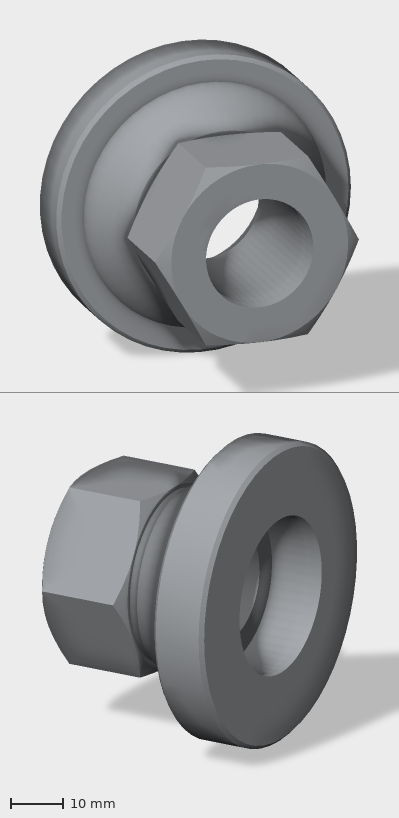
import cadquery as cq
import math

flange_radius = 30.0
flange_thickness = 11.05
flange_chamfer = 0.8
neck_base_radius = 24.7
neck_end_radius = 18.1
neck_end_x = 21.35
neck_hollow = 0.25

bore_radius = 10.9
counterbore_radius = 15.7
counterbore_depth = 11.05

nut_collar_radius = 17.15
nut_start_x = 23.5
overall_length = 42.5
nut_across_flats = 36.0
nut_chamfer_angle = 30.0

nut_length = overall_length - nut_start_x
nut_across_corners = nut_across_flats / math.cos(math.radians(30))


def make_flange():
    """Disc and neck as one turned solid with a stepped bore."""
    neck_middle = (
        (flange_thickness + neck_end_x) / 2,
        (neck_base_radius + neck_end_radius) / 2 - neck_hollow,
    )
    profile = (
        cq.Workplane("XY")
        .moveTo(0, counterbore_radius)
        .lineTo(0, flange_radius - flange_chamfer)
        .lineTo(flange_chamfer, flange_radius)
        .lineTo(flange_thickness - flange_chamfer, flange_radius)
        .lineTo(flange_thickness, flange_radius - flange_chamfer)
        .lineTo(flange_thickness, neck_base_radius)
        .threePointArc(neck_middle, (neck_end_x, neck_end_radius))
        .lineTo(neck_end_x, bore_radius)
        .lineTo(counterbore_depth, bore_radius)
        .lineTo(counterbore_depth, counterbore_radius)
        .close()
    )
    return profile.revolve(360, (0, 0, 0), (1, 0, 0))


def make_chamfer_envelope():
    """Turned shape that bevels the corners at both ends of the hexagon."""
    face_radius = nut_across_flats / 2
    corner_radius = nut_across_corners / 2
    bevel_length = (corner_radius - face_radius) * math.tan(math.radians(nut_chamfer_angle))
    return (
        cq.Workplane("XY")
        .moveTo(nut_start_x, 0)
        .lineTo(nut_start_x, face_radius)
        .lineTo(nut_start_x + bevel_length, corner_radius)
        .lineTo(overall_length - bevel_length, corner_radius)
        .lineTo(overall_length, face_radius)
        .lineTo(overall_length, 0)
        .close()
        .revolve(360, (0, 0, 0), (1, 0, 0))
    )


def make_nut():
    """Hexagon with flats facing +Z and -Z, a collar against the neck, and a through bore."""
    hexagon = (
        cq.Workplane("YZ", origin=(nut_start_x, 0, 0))
        .polygon(6, nut_across_corners)
        .extrude(nut_length)
        .intersect(make_chamfer_envelope())
    )
    collar = (
        cq.Workplane("YZ", origin=(neck_end_x, 0, 0))
        .circle(nut_collar_radius)
        .extrude(nut_start_x - neck_end_x)
    )
    bore = (
        cq.Workplane("YZ", origin=(neck_end_x, 0, 0))
        .circle(bore_radius)
        .extrude(overall_length - neck_end_x)
    )
    return hexagon.union(collar).cut(bore)


flange = make_flange()
nut = make_nut()

result = cq.Compound.makeCompound([flange.val(), nut.val()])